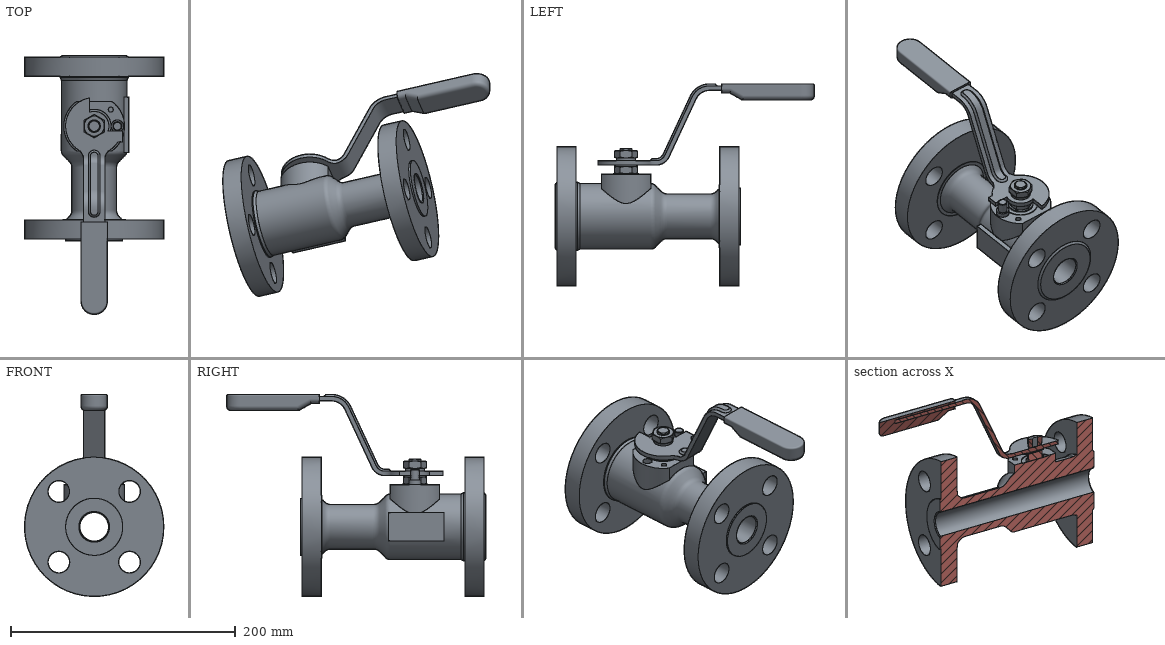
import cadquery as cq
import math


face_back = 63.0
face_to_face = 165.0
face_front = face_back - face_to_face
flange_diameter = 124.0
flange_thickness = 17.2
raised_height = 1.5
raised_diameter = 50.8
bolt_circle = 88.9
bolt_hole_diameter = 19.0
bolt_count = 4

barrel_diameter = 58.6
neck_diameter = 40.0
bore_diameter = 25.45
bore_chamfer = 0.9
barrel_end = -21.8
shoulder_round = 6.0
neck_round = 7.0
bead_diameter = 60.7
bead_height = 1.0
bead_end = 40.8
front_lip_diameter = 55.85
front_lip_height = 0.5
front_cone_start = -75.2

boss_diameter = 54.0
boss_half_length = 22.0
boss_top = 37.5
boss_recess_diameter = 30.09
boss_recess_depth = 0.5
stop_offset = 20.6
stop_hole_depth = 6.0
small_hole_diameter = 4.5
small_hole_depth = 6.0
small_hole_offset = 14.75

plate_back = 25.9
plate_length = 49.4
plate_height = 25.0
plate_outer = 30.9
plate_inner = math.sqrt((barrel_diameter / 2) ** 2 - (plate_height / 2) ** 2)

stem_diameter = 10.98
stem_flats = 9.8
stem_bottom = 20.0
stem_top = 60.5
stem_chamfer = 0.8
nut_flats = 18.0
nut_chamfer_angle = 30.0
lower_nut_face_diameter = 22.0
lower_nut_face_height = 0.5
washer_diameter = 20.6
washer_thickness = 1.1
upper_nut_top = 58.5
upper_nut_collar_diameter = 17.2
upper_nut_collar_height = 2.5

pin_diameter = 7.92
pin_collar_diameter = 10.98
pin_collar_height = 4.0
pin_top = 50.8
pin_chamfer = 0.5

lever_bottom = 45.4
lever_thickness = 4.0
lever_top = lever_bottom + lever_thickness
lever_disc_radius = 25.4
arm_width = 19.0
arm_blend_radius = 10.0
arm_angle = 65.0
lower_bend_start = -26.6
lower_bend_radius = 9.0
upper_bend_radius = 13.0
grip_level = 111.9
notch_radius = 13.1
notch_left = -4.0
notch_front = -4.2
tab_side = 25.3
tab_front = -13.9
rib_width = 10.4
rib_height = 1.9
rib_chamfer = 1.8
rib_back = -21.3
rib_front = -81.0

grip_back = -85.0
grip_front = -167.46
grip_width = 23.5
grip_top = grip_level + lever_thickness + rib_height
grip_bottom = 103.2
grip_step_bottom = 109.5
grip_slope_back = -92.4
grip_slope_front = -103.6
grip_top_round = 1.5
grip_bottom_round = 4.0
tang_end = -150.0
selection_margin = 0.1


def disc(diameter, bottom, top):
    return cq.Workplane("XY").workplane(offset=bottom).circle(diameter / 2).extrude(top - bottom)


def box_between(x0, x1, y0, y1, z0, z1):
    size = (x1 - x0, y1 - y0, z1 - z0)
    return cq.Workplane("XY").box(*size, centered=False).translate((x0, y0, z0))


def arc_point(center, radius, degrees):
    angle = math.radians(degrees)
    return (center[0] + radius * math.cos(angle), center[1] + radius * math.sin(angle))


def make_body_of_revolution():
    """Flanges, barrel, cone and neck as one profile of (radius, y) turned about Y."""
    bore = bore_diameter / 2
    barrel = barrel_diameter / 2
    neck = neck_diameter / 2
    flange = flange_diameter / 2
    back_inner = face_back - raised_height - flange_thickness
    back_outer = face_back - raised_height
    front_outer = face_front + raised_height
    front_inner = front_outer + flange_thickness
    shoulder_tangent = shoulder_round * math.tan(math.radians(22.5))
    neck_tangent = neck_round * math.tan(math.radians(22.5))
    neck_start = barrel_end - shoulder_tangent - (barrel - neck) - neck_tangent
    shoulder_center = (barrel - shoulder_round, barrel_end)
    neck_center = (neck + neck_round, neck_start)
    flare_center = (neck + neck_round, front_cone_start)
    flare_end = arc_point(flare_center, neck_round, 225)
    lip_top = front_inner + front_lip_height
    profile = (
        cq.Workplane("XY")
        .moveTo(bore + bore_chamfer, face_back)
        .lineTo(barrel - bead_height, face_back)
        .lineTo(bead_diameter / 2, back_outer)
        .lineTo(flange, back_outer)
        .lineTo(flange, back_inner)
        .lineTo(bead_diameter / 2, back_inner)
        .lineTo(bead_diameter / 2, back_inner - bead_height)
        .lineTo(barrel, bead_end)
        .lineTo(barrel, barrel_end)
        .threePointArc(arc_point(shoulder_center, shoulder_round, -22.5),
                       arc_point(shoulder_center, shoulder_round, -45))
        .lineTo(*arc_point(neck_center, neck_round, 135))
        .threePointArc(arc_point(neck_center, neck_round, 157.5), (neck, neck_start))
        .lineTo(neck, front_cone_start)
        .threePointArc(arc_point(flare_center, neck_round, 202.5), flare_end)
        .lineTo(flare_end[0] + flare_end[1] - lip_top, lip_top)
        .lineTo(front_lip_diameter / 2, lip_top)
        .lineTo(front_lip_diameter / 2, front_inner)
        .lineTo(flange, front_inner)
        .lineTo(flange, front_outer)
        .lineTo(raised_diameter / 2, front_outer)
        .lineTo(raised_diameter / 2, face_front)
        .lineTo(bore + bore_chamfer, face_front)
        .lineTo(bore, face_front + bore_chamfer)
        .lineTo(bore, face_back - bore_chamfer)
        .close()
    )
    return profile.revolve(360, (0, 0, 0), (0, 1, 0))


def make_body():
    boss = disc(boss_diameter, 0, boss_top).intersect(
        cq.Workplane("XY").box(boss_diameter, 2 * boss_half_length, 2 * boss_top)
    )
    bore = cq.Workplane("XZ").circle(bore_diameter / 2).extrude(boss_half_length, both=True)
    body = make_body_of_revolution().union(boss.cut(bore))

    bolt_holes = (
        cq.Workplane("XZ", origin=(0, face_back, 0))
        .polarArray(bolt_circle / 2, 45, 360, bolt_count)
        .circle(bolt_hole_diameter / 2)
        .extrude(face_to_face)
    )
    bolt_holes = bolt_holes.cut(boss)
    recess = disc(boss_recess_diameter, boss_top - boss_recess_depth, boss_top)
    stop_holes = (
        cq.Workplane("XY", origin=(0, 0, boss_top))
        .pushPoints([(-stop_offset, 0), (stop_offset, 0)])
        .circle(pin_diameter / 2)
        .extrude(-stop_hole_depth)
    )
    small_holes = (
        cq.Workplane("XY", origin=(0, 0, boss_top))
        .pushPoints([(small_hole_offset, small_hole_offset), (-small_hole_offset, -small_hole_offset)])
        .circle(small_hole_diameter / 2)
        .extrude(-small_hole_depth)
    )
    for cutter in (bolt_holes, recess, stop_holes, small_holes, make_stem(), make_name_plate()):
        body = body.cut(cutter)
    return body


def make_name_plate():
    return box_between(
        plate_inner, plate_outer, plate_back - plate_length, plate_back, -plate_height / 2, plate_height / 2
    )


def make_stem():
    stem = disc(stem_diameter, stem_bottom, stem_top).faces(">Z").chamfer(stem_chamfer)
    return stem.intersect(cq.Workplane("XY").box(stem_flats, stem_diameter, 2 * stem_top))


def hexagon(bottom, top):
    """Hexagon with corners on the Y axis and 30 degree chamfered corners at both ends."""
    corner_radius = nut_flats / math.sqrt(3)
    drop = (corner_radius - nut_flats / 2) * math.tan(math.radians(nut_chamfer_angle))
    prism = (
        cq.Workplane("XY", origin=(0, 0, bottom))
        .transformed(rotate=(0, 0, 90))
        .polygon(6, 2 * corner_radius)
        .extrude(top - bottom)
    )
    envelope = (
        cq.Workplane("XZ")
        .moveTo(0, bottom)
        .lineTo(nut_flats / 2, bottom)
        .lineTo(corner_radius, bottom + drop)
        .lineTo(corner_radius, top - drop)
        .lineTo(nut_flats / 2, top)
        .lineTo(0, top)
        .close()
        .revolve()
    )
    return prism.intersect(envelope)


def make_lower_nut():
    bottom = boss_top - boss_recess_depth
    face_top = boss_top + lower_nut_face_height
    nut = disc(lower_nut_face_diameter, bottom, face_top)
    nut = nut.union(hexagon(face_top, lever_bottom - washer_thickness))
    return nut.cut(make_stem())


def make_washer():
    return disc(washer_diameter, lever_bottom - washer_thickness, lever_bottom).cut(make_stem())


def make_upper_nut():
    collar_top = lever_top + upper_nut_collar_height
    nut = disc(upper_nut_collar_diameter, lever_top, collar_top).union(hexagon(collar_top, upper_nut_top))
    return nut.cut(disc(stem_diameter, lever_top, upper_nut_top))


def make_stop_pin():
    pin = disc(pin_diameter, boss_top - stop_hole_depth, pin_top).faces(">Z").chamfer(pin_chamfer)
    collar = disc(pin_collar_diameter, boss_top, boss_top + pin_collar_height)
    return pin.union(collar).translate((stop_offset, 0, 0))


def make_bent_strip(low, high, width, front):
    """Strip along the lever path between two heights above the lever's underside."""
    slope = math.radians(arm_angle)
    lower_center = (lower_bend_start, lever_top + lower_bend_radius)
    upper_center_height = grip_level - upper_bend_radius
    bend_radii = lower_bend_radius + lever_thickness + upper_bend_radius
    straight_rise = (grip_level - lever_bottom) - bend_radii * (1 - math.cos(slope))
    run = bend_radii * math.sin(slope) + straight_rise / math.tan(slope)
    upper_center = (lower_bend_start - run, upper_center_height)

    def lower(height, degrees):
        return arc_point(lower_center, lower_bend_radius + lever_thickness - height, -90 - degrees)

    def upper(height, degrees):
        return arc_point(upper_center, upper_bend_radius + height, 90 - degrees)

    profile = (
        cq.Workplane("YZ", origin=(-width / 2, 0, 0))
        .moveTo(0, lever_bottom + low)
        .lineTo(*lower(low, 0))
        .threePointArc(lower(low, arm_angle / 2), lower(low, arm_angle))
        .lineTo(*upper(low, arm_angle))
        .threePointArc(upper(low, arm_angle / 2), upper(low, 0))
        .lineTo(front, grip_level + low)
        .lineTo(front, grip_level + high)
        .lineTo(*upper(high, 0))
        .threePointArc(upper(high, arm_angle / 2), upper(high, arm_angle))
        .lineTo(*lower(high, arm_angle))
        .threePointArc(lower(high, arm_angle / 2), lower(high, 0))
        .lineTo(0, lever_bottom + high)
        .close()
    )
    return profile.extrude(width)


def make_lever_head():
    """Disc with a stop tab, blended into the arm and notched around the stop pin."""
    half_arm = arm_width / 2
    blend_x = half_arm + arm_blend_radius
    blend_y = -math.sqrt((lever_disc_radius + arm_blend_radius) ** 2 - blend_x ** 2)
    touch_scale = lever_disc_radius / (lever_disc_radius + arm_blend_radius)
    touch_x, touch_y = blend_x * touch_scale, blend_y * touch_scale
    web = (
        cq.Workplane("XY", origin=(0, 0, lever_bottom))
        .moveTo(touch_x, touch_y)
        .radiusArc((half_arm, blend_y), -arm_blend_radius)
        .lineTo(-half_arm, blend_y)
        .radiusArc((-touch_x, touch_y), -arm_blend_radius)
        .close()
        .extrude(lever_thickness)
    )
    web = web.intersect(make_bent_strip(0, lever_thickness, 2 * lever_disc_radius, tang_end))
    tab = box_between(0, tab_side, tab_front, notch_front, lever_bottom, lever_top)
    head = disc(2 * lever_disc_radius, lever_bottom, lever_top).union(tab).union(web)
    corner = 2 * lever_disc_radius
    notch = box_between(notch_left, corner, notch_front, corner, lever_bottom, lever_top)
    keep = disc(2 * notch_radius, lever_bottom, lever_top)
    return head.cut(notch.cut(keep))


def make_rib():
    """Raised bead with round ends along the top of the bent arm."""
    length = rib_back - rib_front
    outline = (
        cq.Workplane("XY", origin=(0, (rib_back + rib_front) / 2, 0))
        .slot2D(length, rib_width, 90)
        .extrude(2 * grip_top)
    )
    band = make_bent_strip(lever_thickness, lever_thickness + rib_height, rib_width, rib_front)
    rib = band.intersect(outline)
    return rib.faces(">Z").edges("%CIRCLE").chamfer(rib_chamfer)


def make_lever():
    arm = make_bent_strip(0, lever_thickness, arm_width, tang_end)
    lever = make_lever_head().union(arm).union(make_rib())
    return lever.cut(make_stem())


def make_grip():
    end_radius = grip_width / 2
    outline = (
        cq.Workplane("XY", origin=(0, 0, grip_bottom))
        .moveTo(-end_radius, grip_back)
        .lineTo(-end_radius, grip_front + end_radius)
        .threePointArc((0, grip_front), (end_radius, grip_front + end_radius))
        .lineTo(end_radius, grip_back)
        .close()
        .extrude(grip_top - grip_bottom)
    )
    relief = (
        cq.Workplane("YZ", origin=(-end_radius, 0, 0))
        .moveTo(grip_back, grip_bottom)
        .lineTo(grip_back, grip_step_bottom)
        .lineTo(grip_slope_back, grip_step_bottom)
        .lineTo(grip_slope_front, grip_bottom)
        .close()
        .extrude(grip_width)
    )
    grip = outline.faces(">Z").edges("not(>Y)").fillet(grip_top_round)
    grip = grip.cut(relief)
    lower_region = cq.selectors.BoxSelector(
        (-grip_width, grip_front - selection_margin, grip_bottom - selection_margin),
        (grip_width, grip_back - selection_margin, grip_step_bottom + selection_margin),
    )
    grip = grip.edges(lower_region).edges("not(|Z)").edges("not(|X)").fillet(grip_bottom_round)
    return grip.cut(make_bent_strip(0, lever_thickness, arm_width, tang_end))


result = cq.Compound.makeCompound([
    make_body().val(),
    make_name_plate().val(),
    make_stem().val(),
    make_lower_nut().val(),
    make_washer().val(),
    make_upper_nut().val(),
    make_stop_pin().val(),
    make_lever().val(),
    make_grip().val(),
])